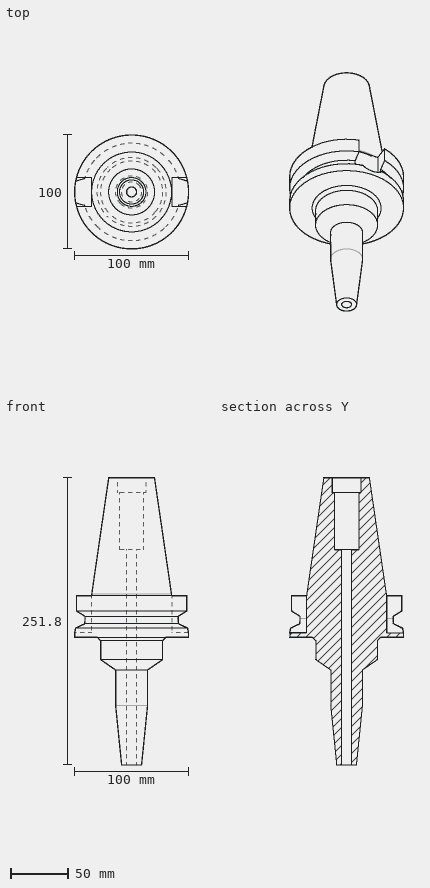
import cadquery as cq

total_length = 251.8
nose_taper_top = 52.5
shank_top = 83.3
neck_bottom = 92.5
neck_top = 109.0
flange_bottom = 112.0
lower_rim_top = 120.0
groove_bottom = 124.0
groove_top = 130.5
upper_rim_bottom = 135.0
flange_top = 148.5
gauge_line = 150.0

nose_tip_radius = 8.8
shank_radius = 14.0
neck_radius = 27.2
neck_root_radius = neck_radius + flange_bottom - neck_top
flange_radius = 100.0 / 2
groove_radius = 42.8
taper_large_radius = 35.0
taper_small_radius = 20.1

mouth_radius = 12.5
mouth_depth = 13.0
drawbar_bore_radius = 10.5
drawbar_bore_depth = 63.0
through_hole_radius = 4.3

slot_width = 25.2
slot_bottom = 116.0
slot_floor_offset = 35.3


def make_body():
    """Revolve the outer profile of nose, neck, V-flange and steep taper."""
    profile = [
        (0, 0),
        (nose_tip_radius, 0),
        (shank_radius, nose_taper_top),
        (shank_radius, shank_top),
        (neck_radius, neck_bottom),
        (neck_radius, neck_top),
        (neck_root_radius, flange_bottom),
        (flange_radius, flange_bottom),
        (flange_radius, lower_rim_top),
        (groove_radius, groove_bottom),
        (groove_radius, groove_top),
        (flange_radius, upper_rim_bottom),
        (flange_radius, flange_top),
        (taper_large_radius, flange_top),
        (taper_large_radius, gauge_line),
        (taper_small_radius, total_length),
        (0, total_length),
    ]
    return cq.Workplane("XZ").polyline(profile).close().revolve(360, (0, 0), (0, 1))


def make_bore(radius, depth):
    """Cylinder reaching down from the small end of the taper."""
    return cq.Workplane("XY").workplane(offset=total_length - depth).circle(radius).extrude(depth)


def make_drive_slot(side):
    """Round-bottomed slot, open at the top and the rim, on the side of X given by +1 or -1."""
    half_width = slot_width / 2
    arc_center = slot_bottom + half_width
    return (
        cq.Workplane("YZ")
        .workplane(offset=side * slot_floor_offset)
        .moveTo(-half_width, flange_top)
        .lineTo(-half_width, arc_center)
        .threePointArc((0, slot_bottom), (half_width, arc_center))
        .lineTo(half_width, flange_top)
        .close()
        .extrude(side * flange_radius)
    )


result = make_body()

bores = [
    (mouth_radius, mouth_depth),
    (drawbar_bore_radius, drawbar_bore_depth),
    (through_hole_radius, total_length),
]
for bore_radius, bore_depth in bores:
    result = result.cut(make_bore(bore_radius, bore_depth))

for slot_side in (-1, 1):
    result = result.cut(make_drive_slot(slot_side))